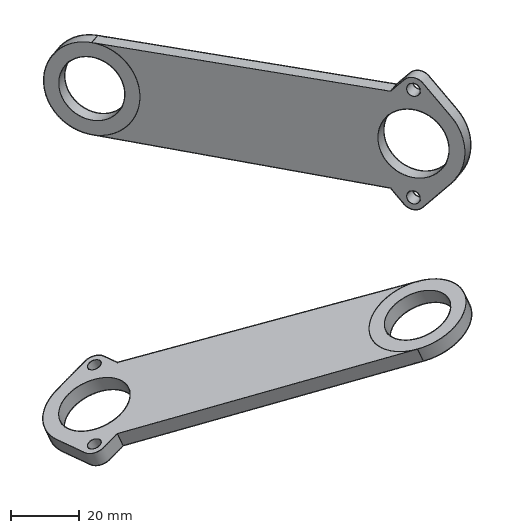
import cadquery as cq
import math

thickness = 5.0
center_distance = 100.0

ring_radius = 15.0
ring_bore = 20.5

head_radius = 16.0
head_bore = 22.1

ear_radius = 4.0
ear_offset = 17.505
ear_hole = 4.2

arm_start_half_height = ring_radius
arm_end_half_height = 15.78


def plate(sketch):
    """Extrude a closed XZ outline from the Y = 0 plane through the full thickness."""
    return sketch.extrude(-thickness)


def make_ring():
    """Ring that fills the concave end of the arm."""
    return plate(cq.Workplane("XZ").circle(ring_radius).circle(ring_bore / 2))


def arm_outline():
    """Tapered arm that ends in a round head with two ears."""
    normal_angle = math.asin((head_radius - ear_radius) / ear_offset)
    normal_x = math.cos(normal_angle)
    normal_z = math.sin(normal_angle)

    ear_touch_x = ear_radius * normal_x
    ear_touch_z = ear_offset + ear_radius * normal_z
    head_touch_x = center_distance + head_radius * normal_x
    head_touch_z = head_radius * normal_z

    corner_drop = ear_touch_z - arm_end_half_height
    corner_x = center_distance - ear_touch_x - corner_drop * normal_z / normal_x

    ear_inner_x = center_distance - ear_touch_x
    ear_outer_x = center_distance + ear_touch_x
    ear_tip_z = ear_offset + ear_radius

    return (
        cq.Workplane("XZ")
        .moveTo(0, arm_start_half_height)
        .lineTo(corner_x, arm_end_half_height)
        .lineTo(ear_inner_x, ear_touch_z)
        .threePointArc((center_distance, ear_tip_z), (ear_outer_x, ear_touch_z))
        .lineTo(head_touch_x, head_touch_z)
        .threePointArc((center_distance + head_radius, 0), (head_touch_x, -head_touch_z))
        .lineTo(ear_outer_x, -ear_touch_z)
        .threePointArc((center_distance, -ear_tip_z), (ear_inner_x, -ear_touch_z))
        .lineTo(corner_x, -arm_end_half_height)
        .lineTo(0, -arm_start_half_height)
        .close()
    )


def make_arm():
    """Arm with its ring seat, head bore and ear holes."""
    ring_seat = plate(cq.Workplane("XZ").circle(ring_radius))
    bore = plate(cq.Workplane("XZ").center(center_distance, 0).circle(head_bore / 2))
    ear_points = [(center_distance, side * ear_offset) for side in (1, -1)]
    ear_holes = plate(cq.Workplane("XZ").pushPoints(ear_points).circle(ear_hole / 2))
    return plate(arm_outline()).cut(ring_seat).cut(bore).cut(ear_holes)


ring = make_ring()
arm = make_arm()

result = cq.Compound.makeCompound([ring.val(), arm.val()])